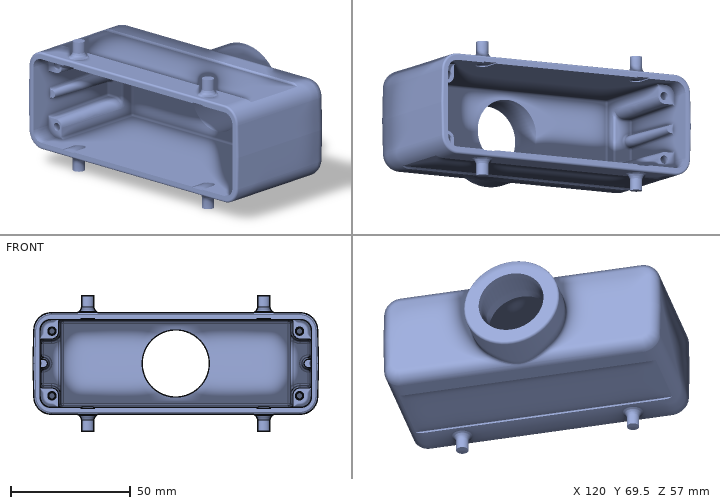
import cadquery as cq
import math


LENGTH = 120.0
HEIGHT = 42.7
SHELL_DEPTH = 55.2
END_DRAFT = 1.5
CORNER_RADIUS = 7.5
BACK_RADIUS = 5.0
RIM_RADIUS = 0.8

TOTAL_DEPTH = 69.5
ENTRY_DIAMETER = 41.2
BORE_DIAMETER = 28.1
ENTRY_EDGE_RADIUS = 1.1
ENTRY_ROOT_RADIUS = 1.1

LABEL_FRONT = 13.0
LABEL_BACK = 42.6
LABEL_DEPTH = 0.8

CAVITY_LENGTH = 114.0
CAVITY_HEIGHT = 37.0
CAVITY_DEPTH = 51.5
CAVITY_CORNER_RADIUS = 4.5
WALL_DRAFT = 0.75
INNER_RADIUS = 1.0

BOSS_START = 9.1
BOSS_SPAN = 98.4
BOSS_GAP = 20.5
BOSS_CORNER_RADIUS = 3.0
BOSS_DRAFT = 1.5
SHELF_START = 45.6
SCREW_X = 52.0
SCREW_Z = 13.5
SCREW_DIAMETER = 3.5
SCREW_TIP_DIAMETER = 2.6
SCREW_DEPTH = 12.0

RIB_START = 10.1
RIB_X = 55.5
RIB_RADIUS = 1.7

TOTAL_HEIGHT = 57.0
PIN_DIAMETER = 5.2
PIN_X = 37.0
PIN_Y = 6.5
PIN_TIP = TOTAL_HEIGHT / 2
PIN_RADIUS = PIN_DIAMETER / 2
FOOT_RADIUS = 4.3
CONE_RADIUS = 3.5
CONE_START = 0.5
COLLAR_RADIUS = 2.9
COLLAR_START = 1.5
COLLAR_TOP = 2.3
SLOT_DEPTH = 0.4

SIDES = (-1, 1)
MARGIN = 1.2


def section(y):
    """Workplane across the hood at depth y, extruding towards +Y."""
    return cq.Workplane(cq.Plane(origin=(0, y, 0), xDir=(1, 0, 0), normal=(0, 1, 0)))


def make_shell():
    """Solid block with slightly ridged ends, rounded lengthwise and around the back."""
    half_height = HEIGHT / 2
    crest = LENGTH / 2
    shoulder = crest - half_height * math.tan(math.radians(END_DRAFT))
    outline = [
        (crest, 0),
        (shoulder, half_height),
        (-shoulder, half_height),
        (-crest, 0),
        (-shoulder, -half_height),
        (shoulder, -half_height),
    ]
    shell = section(0).polyline(outline).close().extrude(SHELL_DEPTH)
    lengthwise = cq.selectors.ParallelDirSelector(cq.Vector(0, 1, 0))
    crests = cq.selectors.BoxSelector((-LENGTH, 0, -MARGIN), (LENGTH, SHELL_DEPTH, MARGIN))
    shell = shell.edges(lengthwise - crests).fillet(CORNER_RADIUS)
    return shell.faces(">Y").edges().fillet(BACK_RADIUS)


def make_entry():
    entry_root = SHELL_DEPTH - BACK_RADIUS
    entry = section(entry_root).circle(ENTRY_DIAMETER / 2).extrude(TOTAL_DEPTH - entry_root)
    return entry.faces(">Y").edges().fillet(ENTRY_EDGE_RADIUS)


def fillet_entry_root(body):
    reach = ENTRY_DIAMETER / 2 + MARGIN
    near_root = cq.selectors.BoxSelector(
        (-reach, SHELL_DEPTH - BACK_RADIUS, -reach),
        (reach, SHELL_DEPTH + MARGIN, reach),
        boundingbox=True,
    )
    return body.edges(near_root).fillet(ENTRY_ROOT_RADIUS)


def label_recess(side):
    """Full-length recess with a square front wall and a back wall sloping at 45 degrees."""
    floor = HEIGHT / 2 - LABEL_DEPTH
    outline = [
        (LABEL_FRONT, floor),
        (LABEL_BACK - LABEL_DEPTH, floor),
        (LABEL_BACK, HEIGHT / 2),
        (LABEL_FRONT, HEIGHT / 2),
    ]
    outline = [(y, side * z) for y, z in outline]
    return cq.Workplane("YZ").polyline(outline).close().extrude(LENGTH / 2, both=True)


def boss_opening():
    """Space left free by the four screw bosses and the two shelves between them."""
    beyond = 2 * LENGTH
    in_front = section(0).rect(beyond, beyond).extrude(BOSS_START)

    inner_corners = cq.selectors.BoxSelector(
        (-LENGTH / 2, -HEIGHT / 2, -MARGIN), (LENGTH / 2, HEIGHT / 2, MARGIN)
    )
    cross = (
        cq.Sketch()
        .rect(BOSS_SPAN, beyond)
        .rect(beyond, BOSS_GAP)
        .clean()
        .vertices(inner_corners)
        .fillet(BOSS_CORNER_RADIUS)
    )
    between = section(BOSS_START).placeSketch(cross)
    between = between.extrude(SHELF_START - BOSS_START, taper=BOSS_DRAFT)

    middle = section(BOSS_START).rect(BOSS_SPAN, beyond)
    middle = middle.extrude(CAVITY_DEPTH - BOSS_START, taper=BOSS_DRAFT)
    return in_front.union(between).union(middle)


def guide_rib(side):
    rib = section(RIB_START).center(side * RIB_X, 0).circle(RIB_RADIUS)
    return rib.extrude(SHELF_START - RIB_START + MARGIN, taper=-BOSS_DRAFT)


def round_cavity(cavity):
    """Round the floor, the shelves and the roots of the bosses and ribs."""
    beyond = 2 * LENGTH
    behind_fronts = RIB_START + MARGIN
    wall_x = CAVITY_LENGTH / 2 - MARGIN
    wall_z = CAVITY_HEIGHT / 2 - MARGIN

    all_behind = cq.selectors.BoxSelector(
        (-beyond, behind_fronts, -beyond), (beyond, beyond, beyond)
    )
    boss_sides = cq.selectors.BoxSelector(
        (-wall_x, behind_fronts, -wall_z), (wall_x, SHELF_START - MARGIN, wall_z)
    )
    return cavity.edges(all_behind - boss_sides).fillet(INNER_RADIUS)


def make_cavity():
    mouth = cq.Sketch().rect(CAVITY_LENGTH, CAVITY_HEIGHT)
    mouth = mouth.vertices().fillet(CAVITY_CORNER_RADIUS)
    cavity = section(0).placeSketch(mouth).extrude(CAVITY_DEPTH, taper=WALL_DRAFT)
    cavity = cavity.intersect(boss_opening())
    for side in SIDES:
        cavity = cavity.cut(guide_rib(side))
    return round_cavity(cavity)


def screw_hole(x, z):
    hole = section(BOSS_START).center(x, z).circle(SCREW_DIAMETER / 2)
    half_angle = math.atan((SCREW_DIAMETER - SCREW_TIP_DIAMETER) / 2 / SCREW_DEPTH)
    return hole.extrude(SCREW_DEPTH, taper=math.degrees(half_angle))


def locking_pin(x, side):
    surface = HEIGHT / 2
    outline = [
        (0, surface - MARGIN),
        (FOOT_RADIUS, surface - MARGIN),
        (FOOT_RADIUS, surface),
        (CONE_RADIUS, surface + CONE_START),
        (COLLAR_RADIUS, surface + COLLAR_START),
        (PIN_RADIUS, surface + COLLAR_TOP),
        (PIN_RADIUS, PIN_TIP),
        (0, PIN_TIP),
    ]
    pin = cq.Workplane("XZ").polyline(outline).close().revolve(360, (0, 0), (0, 1))
    if side < 0:
        pin = pin.rotate((0, 0, 0), (1, 0, 0), 180)
    return pin.translate((x, PIN_Y, 0))


def pin_slot(x, side):
    """Shallow round-ended slot in the inner wall, running from the rim to the pin axis."""
    top = CAVITY_HEIGHT / 2 + SLOT_DEPTH
    slot = cq.Workplane("XY").center(x, PIN_Y).circle(COLLAR_RADIUS).extrude(side * top)
    straight = cq.Workplane("XY").center(x, PIN_Y / 2).rect(2 * COLLAR_RADIUS, PIN_Y)
    return slot.union(straight.extrude(side * top))


body = make_shell().union(make_entry())
body = fillet_entry_root(body)
body = body.faces("<Y").edges().fillet(RIM_RADIUS)
for side in SIDES:
    body = body.cut(label_recess(side))
    for end in SIDES:
        body = body.union(locking_pin(end * PIN_X, side))

body = body.cut(make_cavity())
body = body.cut(section(0).circle(BORE_DIAMETER / 2).extrude(TOTAL_DEPTH))
for side in SIDES:
    for end in SIDES:
        body = body.cut(pin_slot(end * PIN_X, side))
        body = body.cut(screw_hole(end * SCREW_X, side * SCREW_Z))

result = body